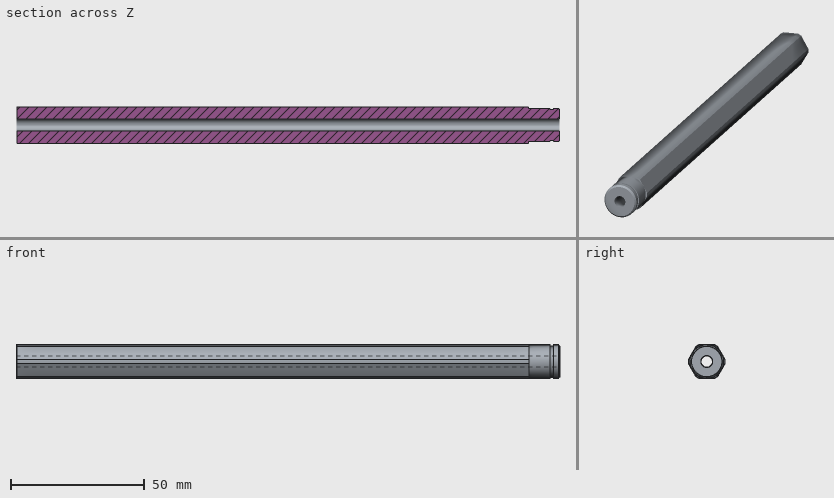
import cadquery as cq
import math

total_length = 203.2
across_flats = 12.5
across_rounded_corners = 13.8
bore_diameter = 4.3

journal_length = 11.5
journal_diameter = across_flats
end_chamfer = 0.6

groove_width = 1.2
groove_depth = 0.5
groove_to_end = 2.5

hex_length = total_length - journal_length


def cylinder(start, length, diameter):
    """Solid cylinder along X, centred on the shaft axis."""
    return cq.Workplane("YZ", origin=(start, 0, 0)).circle(diameter / 2).extrude(length)


def hex_body():
    """Hexagonal bar with flats at top and bottom and its corners turned round."""
    across_corners = across_flats / math.cos(math.pi / 6)
    bar = cq.Workplane("YZ").polygon(6, across_corners).extrude(hex_length)
    return bar.intersect(cylinder(0, hex_length, across_rounded_corners))


def journal():
    """Round end with a chamfered tip and a ring groove."""
    body = cylinder(hex_length, journal_length, journal_diameter)
    body = body.faces(">X").edges().chamfer(end_chamfer)
    groove_start = total_length - groove_to_end - groove_width
    ring = cylinder(groove_start, groove_width, across_rounded_corners)
    core = cylinder(groove_start, groove_width, journal_diameter - 2 * groove_depth)
    return body.cut(ring.cut(core))


bore = cylinder(0, total_length, bore_diameter)
result = hex_body().union(journal()).cut(bore)